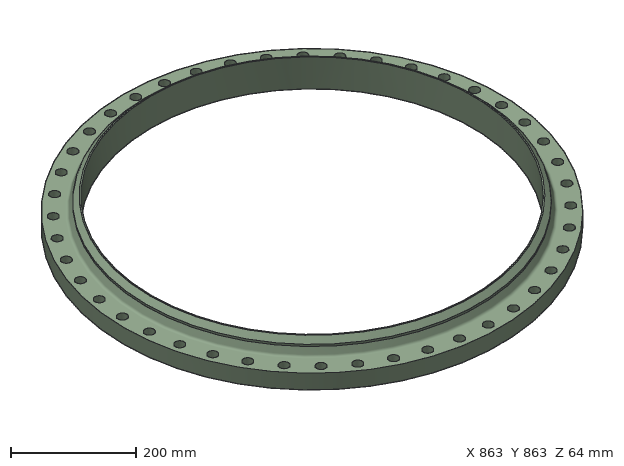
import cadquery as cq

flange_diameter = 863.0
flange_thickness = 34.0
flange_radius = flange_diameter / 2

total_height = 64.0
bore_radius = 369.0
hub_base_radius = 389.0
neck_radius = 382.0
hub_top_radius = 371.0
neck_start_height = 49.0
bevel_start_height = 53.5
hub_fillet_radius = 6.0

bolt_count = 44
bolt_circle_radius = 413.0
bolt_hole_diameter = 19.0


def flange_body():
    """Revolve the half section (radius, height) around Z and round the root of the hub."""
    section = [
        (bore_radius, 0),
        (flange_radius, 0),
        (flange_radius, flange_thickness),
        (hub_base_radius, flange_thickness),
        (neck_radius, neck_start_height),
        (neck_radius, bevel_start_height),
        (hub_top_radius, total_height),
        (bore_radius, total_height),
    ]
    body = cq.Workplane("XZ").polyline(section).close().revolve(360, (0, 0), (0, 1))
    hub_root = body.edges(cq.selectors.RadiusNthSelector(-2))
    return hub_root.fillet(hub_fillet_radius)


def bolt_holes():
    """Through holes evenly spaced on the bolt circle, the first on +X."""
    return (
        cq.Workplane("XY")
        .polarArray(bolt_circle_radius, 0, 360, bolt_count)
        .circle(bolt_hole_diameter / 2)
        .extrude(flange_thickness)
    )


result = flange_body().cut(bolt_holes())